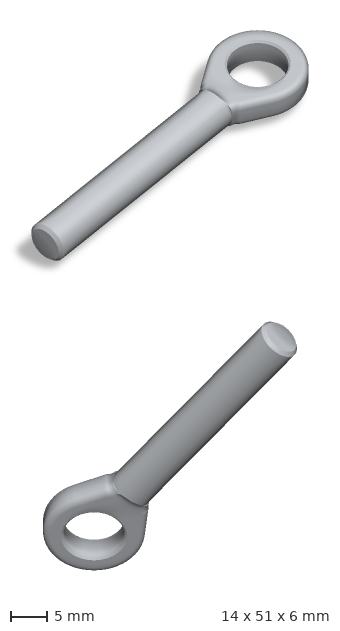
import cadquery as cq
import math

total_length = 51.0
eye_diameter = 14.0
hole_diameter = 8.45
hole_chamfer = 0.3
head_thickness = 4.15
edge_radius = 1.0
shank_diameter = 6.0
shank_chamfer = 0.5
flank_angle = math.radians(30)
neck_radius = 1.0
neck_corner_y = -7.1
step_y = -8.0
step_radius = 1.0

eye_radius = eye_diameter / 2
shank_radius = shank_diameter / 2
half_thickness = head_thickness / 2
shank_end_y = eye_radius - total_length


def polar(center, radius, angle):
    return (center[0] + radius * math.cos(angle), center[1] + radius * math.sin(angle))


def mirrored(point):
    return (-point[0], point[1])


def make_head():
    """Teardrop plate with rounded rims and a neck blended into the shank."""
    origin = (0, 0)
    corner_x = (eye_radius - neck_radius + neck_corner_y * math.sin(flank_angle)) / math.cos(flank_angle)
    corner = (corner_x, neck_corner_y)

    blend_x = shank_radius + neck_radius
    drop = math.sqrt((2 * neck_radius) ** 2 - (blend_x - corner_x) ** 2)
    blend = (blend_x, neck_corner_y - drop)
    turn_angle = math.atan2(drop, blend_x - corner_x)

    flank_start = polar(origin, eye_radius, -flank_angle)
    flank_end = polar(corner, neck_radius, -flank_angle)
    corner_mid = polar(corner, neck_radius, -(flank_angle + turn_angle) / 2)
    corner_end = polar(corner, neck_radius, -turn_angle)
    blend_mid = polar(blend, neck_radius, math.pi - turn_angle / 2)
    blend_end = polar(blend, neck_radius, math.pi)

    plate = (
        cq.Workplane("XY", origin=(0, 0, -half_thickness))
        .moveTo(*flank_start)
        .lineTo(*flank_end)
        .threePointArc(corner_mid, corner_end)
        .threePointArc(blend_mid, blend_end)
        .lineTo(*mirrored(blend_end))
        .threePointArc(mirrored(blend_mid), mirrored(corner_end))
        .threePointArc(mirrored(corner_mid), mirrored(flank_end))
        .lineTo(*mirrored(flank_start))
        .threePointArc((0, eye_radius), flank_start)
        .close()
        .extrude(head_thickness)
    )
    rim_edges = plate.faces("|Z").edges()
    neck_end_edges = plate.faces("<Y").edges("|X")
    return rim_edges.newObject(
        [edge for edge in rim_edges.vals() if not any(edge.isSame(end) for end in neck_end_edges.vals())]
    ).fillet(edge_radius)


def make_shank():
    """Round bar, chamfered at its free end and scooped down to the flat faces."""
    bar = (
        cq.Workplane("XZ", origin=(0, step_y, 0))
        .circle(shank_radius)
        .extrude(step_y - shank_end_y)
        .faces("<Y")
        .chamfer(shank_chamfer)
    )
    for side in (1, -1):
        scoop = (
            cq.Workplane("YZ", origin=(-shank_radius, 0, 0))
            .center(step_y, side * (half_thickness + step_radius))
            .circle(step_radius)
            .extrude(shank_diameter)
        )
        bar = bar.cut(scoop)
    return bar


def make_hole():
    """Through hole with a chamfered mouth on each face."""
    hole = cq.Workplane("XY").circle(hole_diameter / 2).extrude(half_thickness, both=True)
    mouth_radius = hole_diameter / 2 + hole_chamfer
    mouth = (
        cq.Workplane("XY", origin=(0, 0, half_thickness))
        .circle(mouth_radius)
        .workplane(offset=-hole_chamfer)
        .circle(hole_diameter / 2)
        .loft()
    )
    return hole.union(mouth).union(mouth.mirror("XY"))


result = make_head().union(make_shank()).cut(make_hole())